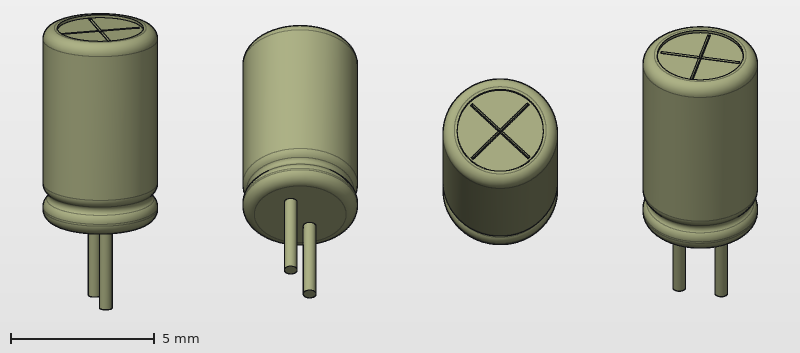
import cadquery as cq
import math


can_diameter = 4.0
can_height = 7.0
end_round_radius = 0.4

groove_center_z = 0.905
groove_depth = 0.2
groove_radius = 0.2
groove_lip_radius = 0.38

recess_diameter = 3.0
recess_depth = 0.1
vent_length = 2.8
vent_width = 0.1
vent_depth = vent_width / 2
vent_end_run = vent_depth

lead_diameter = 0.45
lead_length = 3.0
lead_pitch = 1.5

can_radius = can_diameter / 2
end_face_radius = can_radius - end_round_radius
recess_floor_z = can_height - recess_depth


def arc_point(center, radius, angle):
    """Point on a circle in the (radius, Z) half plane, angle in radians from outward."""
    return (center[0] + radius * math.cos(angle), center[1] + radius * math.sin(angle))


def make_can():
    """Revolve the can outline: rounded ends and a groove blended in by tangent arcs."""
    neck_radius = can_radius - groove_depth
    neck_center_r = neck_radius + groove_radius
    lip_center_r = can_radius - groove_lip_radius

    center_spacing = groove_radius + groove_lip_radius
    blend_angle = math.acos((neck_center_r - lip_center_r) / center_spacing)
    lip_offset_z = center_spacing * math.sin(blend_angle)

    lower_lip = (lip_center_r, groove_center_z - lip_offset_z)
    upper_lip = (lip_center_r, groove_center_z + lip_offset_z)
    lower_end = (end_face_radius, end_round_radius)
    upper_end = (end_face_radius, can_height - end_round_radius)
    arc_middle = math.pi / 4

    outline = (
        cq.Workplane("XZ")
        .moveTo(0, 0)
        .lineTo(end_face_radius, 0)
        .threePointArc(
            arc_point(lower_end, end_round_radius, -arc_middle),
            arc_point(lower_end, end_round_radius, 0),
        )
        .lineTo(can_radius, lower_lip[1])
        .threePointArc(
            arc_point(lower_lip, groove_lip_radius, blend_angle / 2),
            arc_point(lower_lip, groove_lip_radius, blend_angle),
        )
        .threePointArc(
            (neck_radius, groove_center_z),
            arc_point(upper_lip, groove_lip_radius, -blend_angle),
        )
        .threePointArc(
            arc_point(upper_lip, groove_lip_radius, -blend_angle / 2),
            arc_point(upper_lip, groove_lip_radius, 0),
        )
        .lineTo(can_radius, upper_end[1])
        .threePointArc(
            arc_point(upper_end, end_round_radius, arc_middle),
            (end_face_radius, can_height),
        )
        .lineTo(0, can_height)
        .close()
    )
    return outline.revolve(360, (0, 0, 0), (0, 1, 0))


def make_top_recess():
    """Shallow round pocket in the top of the can."""
    floor = cq.Workplane("XY").workplane(offset=recess_floor_z)
    return floor.circle(recess_diameter / 2).extrude(recess_depth)


def make_vent_groove():
    """V-section bar along X with sloping ends, its open side level with the recess floor."""
    root_z = recess_floor_z - vent_depth
    half_width = vent_width / 2
    half_length = vent_length / 2
    half_root_length = half_length - vent_end_run
    cross_section = (
        cq.Workplane("YZ")
        .polyline([(-half_width, recess_floor_z), (0, root_z), (half_width, recess_floor_z)])
        .close()
        .extrude(half_length, both=True)
    )
    long_section = (
        cq.Workplane("XZ")
        .moveTo(-half_length, recess_floor_z)
        .lineTo(-half_root_length, root_z)
        .lineTo(half_root_length, root_z)
        .lineTo(half_length, recess_floor_z)
        .close()
        .extrude(half_width, both=True)
    )
    return cross_section.intersect(long_section)


def make_vent_cross():
    """Two crossed V grooves sunk into the recess floor."""
    along_x = make_vent_groove()
    along_y = make_vent_groove().rotate((0, 0, 0), (0, 0, 1), 90)
    return along_x.union(along_y)


def make_leads():
    """Pair of round leads hanging from the underside of the can."""
    lead_places = [(-lead_pitch / 2, 0), (lead_pitch / 2, 0)]
    return cq.Workplane("XY").pushPoints(lead_places).circle(lead_diameter / 2).extrude(-lead_length)


result = make_can().cut(make_top_recess()).cut(make_vent_cross()).union(make_leads())